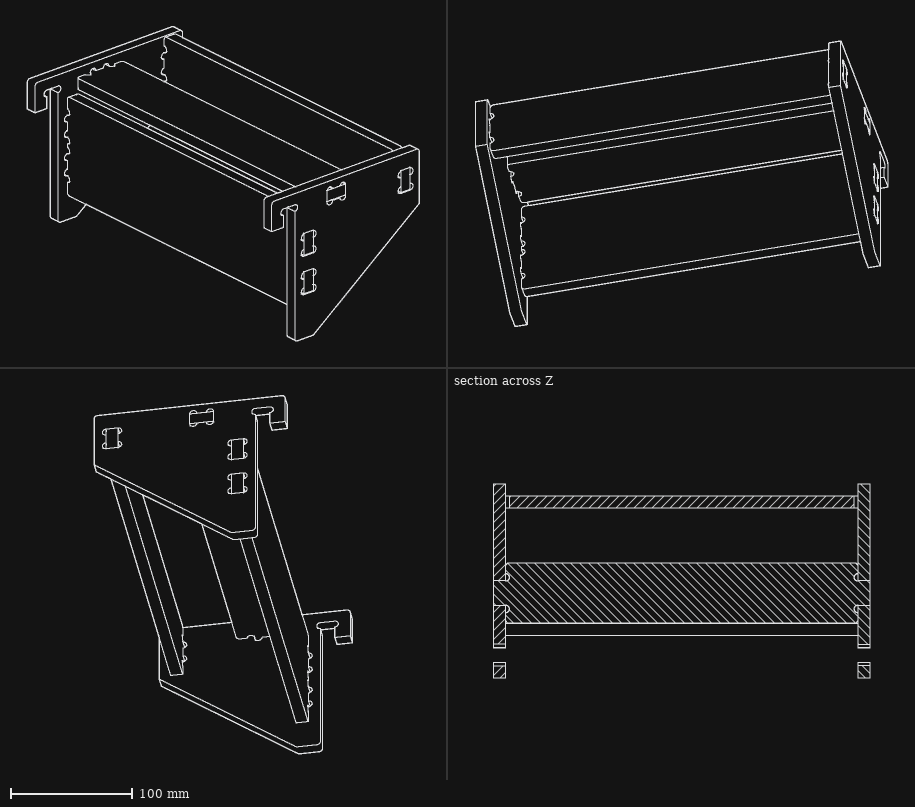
import cadquery as cq


TOTAL_LENGTH = 310.04
PLATE_HEIGHT = 135.0
RIGHT_PLATE_DROP = 0.72
PLATE_DEPTH = 135.0
THICKNESS = 10.0
INNER_LENGTH = TOTAL_LENGTH - 2 * THICKNESS
CORNER_RADIUS = 3.0

BACK_EDGE_HEIGHT = 50.2
FOOT_WIDTH = 20.0
HOOK_REACH = 25.0
HOOK_BAR_HEIGHT = 10.25
HOOK_DROP = 27.0
HOOK_GAP = 12.0

TENON_WIDTH = 20.0
RELIEF_RADIUS = 3.0
RELIEF_OFFSET = TENON_WIDTH / 2 - RELIEF_RADIUS
SHOULDER_OFFSET = TENON_WIDTH / 2 + RELIEF_RADIUS

BOARD_SETBACK = 10.0
TENON_SPACING = 35.0
FRONT_BOARD_WIDTH = 90.0
FRONT_BOARD_TOP = -22.5
FRONT_BOARD_Y = BOARD_SETBACK + THICKNESS / 2
FRONT_BOARD_Z = FRONT_BOARD_TOP - FRONT_BOARD_WIDTH / 2
SHELF_WIDTH = 50.0
SHELF_Y = 45.0
SHELF_Z = -13.7
BACK_BOARD_WIDTH = 50.0
BACK_BOARD_Y = PLATE_DEPTH - BOARD_SETBACK - THICKNESS / 2
BACK_BOARD_Z = -BACK_BOARD_WIDTH / 2

SINGLE_TENON = [0.0]
DOUBLE_TENON = [-TENON_SPACING / 2, TENON_SPACING / 2]


def make_board(width, tenon_centres):
    """Flat board centred on the origin, length along X and width along Y."""
    board = (
        cq.Workplane("XY")
        .box(INNER_LENGTH, width, THICKNESS)
        .edges("|Z")
        .fillet(CORNER_RADIUS)
    )
    tenons = cq.Workplane("XY").box(TOTAL_LENGTH, TENON_WIDTH, THICKNESS)
    for centre in tenon_centres:
        board = board.union(tenons.translate((0, centre, 0)))
    relief_points = [
        (end * INNER_LENGTH / 2, centre + side * SHOULDER_OFFSET)
        for end in (-1, 1)
        for centre in tenon_centres
        for side in (-1, 1)
    ]
    reliefs = (
        cq.Workplane("XY")
        .pushPoints(relief_points)
        .circle(RELIEF_RADIUS)
        .extrude(THICKNESS, both=True)
    )
    return board.cut(reliefs)


def make_tenon_slot():
    """Cutter for one upright slot with round reliefs at its corners, centred on the origin."""
    slot = cq.Workplane("YZ").rect(THICKNESS, TENON_WIDTH).extrude(THICKNESS, both=True)
    reliefs = (
        cq.Workplane("YZ")
        .rect(THICKNESS, 2 * RELIEF_OFFSET, forConstruction=True)
        .vertices()
        .circle(RELIEF_RADIUS)
        .extrude(THICKNESS, both=True)
    )
    return slot.union(reliefs)


def make_side_plate():
    """Hooked plate centred on X = 0."""
    plate = (
        cq.Workplane("YZ")
        .moveTo(-HOOK_REACH, 0)
        .lineTo(PLATE_DEPTH, 0)
        .lineTo(PLATE_DEPTH, -BACK_EDGE_HEIGHT)
        .lineTo(FOOT_WIDTH, -PLATE_HEIGHT)
        .lineTo(0, -PLATE_HEIGHT)
        .lineTo(0, -HOOK_BAR_HEIGHT)
        .lineTo(-HOOK_GAP, -HOOK_BAR_HEIGHT)
        .lineTo(-HOOK_GAP, -HOOK_DROP)
        .lineTo(-HOOK_REACH, -HOOK_DROP)
        .close()
        .extrude(THICKNESS / 2, both=True)
    )
    plate = plate.edges("|X and >Z").fillet(CORNER_RADIUS)
    plate = plate.edges("|X and <Z").fillet(CORNER_RADIUS)

    hook_reliefs = (
        cq.Workplane("YZ")
        .pushPoints([(y, -HOOK_BAR_HEIGHT - RELIEF_RADIUS) for y in (-HOOK_GAP, 0)])
        .circle(RELIEF_RADIUS)
        .extrude(THICKNESS, both=True)
    )
    plate = plate.cut(hook_reliefs)

    upright_slot = make_tenon_slot()
    for offset in DOUBLE_TENON:
        plate = plate.cut(upright_slot.translate((0, FRONT_BOARD_Y, FRONT_BOARD_Z + offset)))
    plate = plate.cut(upright_slot.translate((0, BACK_BOARD_Y, BACK_BOARD_Z)))
    flat_slot = upright_slot.rotate((0, 0, 0), (1, 0, 0), 90)
    return plate.cut(flat_slot.translate((0, SHELF_Y, SHELF_Z)))


def stand_upright(board):
    """Turn a flat board so its width runs along Z."""
    return board.rotate((0, 0, 0), (1, 0, 0), 90)


front_board = stand_upright(make_board(FRONT_BOARD_WIDTH, DOUBLE_TENON))
front_board = front_board.translate((0, FRONT_BOARD_Y, FRONT_BOARD_Z))

shelf = make_board(SHELF_WIDTH, SINGLE_TENON).translate((0, SHELF_Y, SHELF_Z))

back_board = stand_upright(make_board(BACK_BOARD_WIDTH, SINGLE_TENON))
back_board = back_board.translate((0, BACK_BOARD_Y, BACK_BOARD_Z))

plate_centre_x = (INNER_LENGTH + THICKNESS) / 2
left_plate = make_side_plate().translate((-plate_centre_x, 0, 0))
right_plate = make_side_plate().translate((plate_centre_x, 0, -RIGHT_PLATE_DROP))
for board in (front_board, shelf, back_board):
    right_plate = right_plate.cut(board)

result = cq.Compound.makeCompound(
    [
        left_plate.val(),
        right_plate.val(),
        front_board.val(),
        shelf.val(),
        back_board.val(),
    ]
)